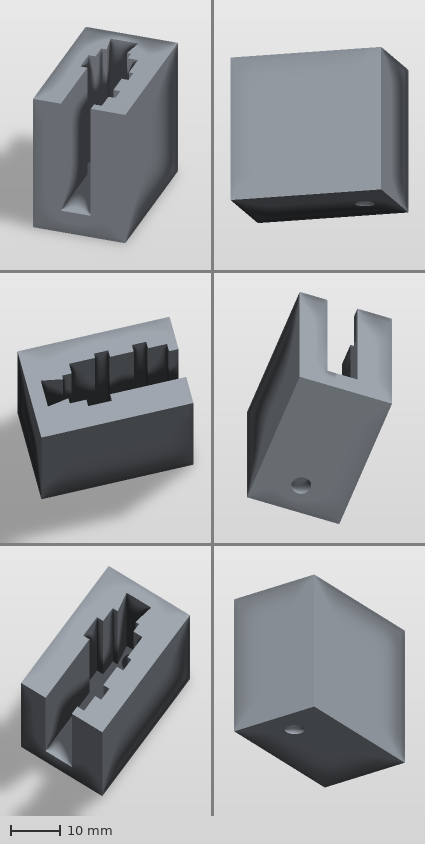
import cadquery as cq
import math

block_width = 20.0
block_depth = 32.0
block_height = 30.0
left_x = -block_width / 2
front_y = -block_depth / 2

floor_thickness = 5.0
mouth_offset = 6.05
mouth_left = left_x + mouth_offset
mouth_width = 6.45
mouth_right = mouth_left + mouth_width
channel_length = 24.5

left_notch_depth = 1.5
left_notch_span = (16.0, 21.0)

right_recess_depth = 1.7
right_recess_span = (2.0, 17.0)
rear_step_depth = 2.22
rear_step_span = (right_recess_span[1], 22.48)
right_notch_depth = 3.2
right_notch_spans = [(6.0, 9.0), (14.0, 17.0)]

dovetail_offset = 9.45
dovetail_center_x = left_x + dovetail_offset
dovetail_back_width = 6.0
dovetail_length = 4.5
flank_angle = 10.0

hole_diameter = 4.06
hole_from_front = 26.4
hole_tilt = 10.0
hole_overlap = 0.5


def pocket_box(x_start, x_end, span):
    """Box from the pocket floor to the top of the block over a span of distances from the front."""
    start, end = span
    return cq.Workplane("XY").box(
        x_end - x_start, end - start, block_height - floor_thickness, centered=False
    ).translate((x_start, front_y + start, floor_thickness))


def dovetail():
    """Tapered rear end of the pocket."""
    back_half = dovetail_back_width / 2
    neck_half = back_half - dovetail_length * math.tan(math.radians(flank_angle))
    neck_y = front_y + channel_length
    back_y = neck_y + dovetail_length
    return (
        cq.Workplane("XY", origin=(0, 0, floor_thickness))
        .moveTo(dovetail_center_x - neck_half, neck_y)
        .lineTo(dovetail_center_x - back_half, back_y)
        .lineTo(dovetail_center_x + back_half, back_y)
        .lineTo(dovetail_center_x + neck_half, neck_y)
        .close()
        .extrude(block_height - floor_thickness)
    )


def pocket():
    """Channel with the wall notches and the dovetail."""
    shape = pocket_box(mouth_left, mouth_right, (0, channel_length))
    shape = shape.union(pocket_box(mouth_left - left_notch_depth, mouth_right, left_notch_span))
    shape = shape.union(pocket_box(mouth_left, mouth_right + right_recess_depth, right_recess_span))
    shape = shape.union(pocket_box(mouth_left, mouth_right + rear_step_depth, rear_step_span))
    for span in right_notch_spans:
        shape = shape.union(pocket_box(mouth_left, mouth_right + right_notch_depth, span))
    return shape.union(dovetail())


def drain_hole():
    """Cylinder centred on the pocket floor, leaning forwards as it goes down."""
    tilt = math.radians(hole_tilt)
    axis = cq.Vector(0, -math.sin(tilt), -math.cos(tilt))
    center = cq.Vector(dovetail_center_x, front_y + hole_from_front, floor_thickness)
    start = center - axis * hole_overlap
    length = hole_overlap + floor_thickness / math.cos(tilt) + hole_diameter
    return cq.Workplane(cq.Solid.makeCylinder(hole_diameter / 2, length, start, axis))


block = cq.Workplane("XY").box(block_width, block_depth, block_height, centered=False)
block = block.translate((left_x, front_y, 0))
result = block.cut(pocket()).cut(drain_hole())